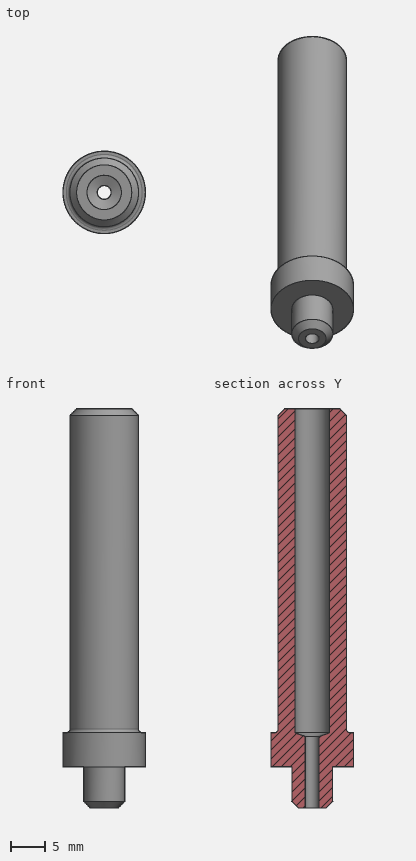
import cadquery as cq
import math

total_length = 58.0
shaft_diameter = 10.0
shaft_chamfer = 1.0
collar_diameter = 12.0
collar_height = 5.0
root_fillet = 0.5
pin_diameter = 6.0
pin_length = 6.0
pin_chamfer = 1.0
bore_diameter = 5.0
pilot_diameter = 2.0
floor_cone_angle = 140.0

shaft_radius = shaft_diameter / 2
collar_radius = collar_diameter / 2
pin_radius = pin_diameter / 2
collar_top = pin_length + collar_height
bore_radius = bore_diameter / 2
pilot_radius = pilot_diameter / 2
cone_height = (bore_radius - pilot_radius) / math.tan(math.radians(floor_cone_angle / 2))
cone_top = collar_top
cone_bottom = cone_top - cone_height


def make_body():
    """Revolve the stepped outline: pin, collar, concave root fillet and shaft."""
    outline = (
        cq.Workplane("XZ")
        .lineTo(pin_radius - pin_chamfer, 0)
        .lineTo(pin_radius, pin_chamfer)
        .lineTo(pin_radius, pin_length)
        .lineTo(collar_radius, pin_length)
        .lineTo(collar_radius, collar_top)
        .lineTo(shaft_radius + root_fillet, collar_top)
        .radiusArc((shaft_radius, collar_top + root_fillet), root_fillet)
        .lineTo(shaft_radius, total_length - shaft_chamfer)
        .lineTo(shaft_radius - shaft_chamfer, total_length)
        .lineTo(0, total_length)
        .close()
    )
    return outline.revolve(360, (0, 0, 0), (0, 1, 0))


def make_bore():
    """Revolve the bore: wide cylinder, conical floor and narrow through hole."""
    outline = (
        cq.Workplane("XZ")
        .lineTo(pilot_radius, 0)
        .lineTo(pilot_radius, cone_bottom)
        .lineTo(bore_radius, cone_top)
        .lineTo(bore_radius, total_length)
        .lineTo(0, total_length)
        .close()
    )
    return outline.revolve(360, (0, 0, 0), (0, 1, 0))


result = make_body().cut(make_bore())